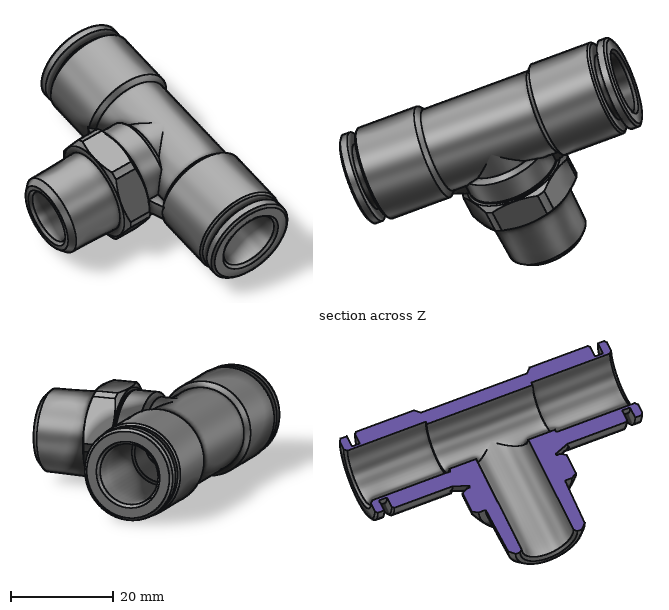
import cadquery as cq
import math

length = 57.0
overall_depth = 38.0
half_length = length / 2
tube_dia = 17.0
bore_dia = 11.0

flange_dia = 18.5
flange_width = 1.8
flange_chamfer_length = 0.4
flange_chamfer_depth = 0.55
collar_neck_dia = 13.5
socket_dia = 19.0
socket_outer_x = 25.1
socket_inner_x = 11.3
socket_edge_chamfer = 0.4
socket_shoulder = (socket_dia - tube_dia) / 2
tube_hole_dia = 12.2
mouth_dia = 13.35
mouth_chamfer = (mouth_dia - tube_hole_dia) / 2

branch_end = overall_depth - socket_dia / 2
neck_dia = 18.85
neck_start = 6.05
neck_cone_length = (neck_dia - tube_dia) / 2
neck_end = 10.6
hex_start = 10.95
hex_end = 17.0
groove_dia = 18.5
hex_sides = 6
hex_flats = 20.0
hex_corner_dia = 22.25
hex_face_dia = 19.85
hex_chamfer_angle = 30.0
thread_dia = 17.0
thread_tip_dia = 16.4
thread_tip_start = 27.35
thread_face_dia = 14.15
branch_mouth_dia = 12.2
branch_mouth_chamfer = (branch_mouth_dia - bore_dia) / 2

web_thickness = 3.65
web_outer_x = 12.7
web_outer_y = 9.3
web_root_y = 5.7


def turned(profile, axis):
    """Revolve (radius, distance) points about +X or -Y, closed along the axis."""
    points = [(0, profile[0][1])] + profile + [(0, profile[-1][1])]
    if axis == "X":
        outline = [(distance, radius) for radius, distance in points]
        axis_end = (1, 0)
    else:
        outline = [(radius, -distance) for radius, distance in points]
        axis_end = (0, 1)
    return cq.Workplane("XY").polyline(outline).close().revolve(360, (0, 0), axis_end)


def run_half():
    flange_inner_x = half_length - flange_width
    return turned(
        [
            (tube_dia / 2, 0),
            (tube_dia / 2, socket_inner_x),
            (socket_dia / 2, socket_inner_x + socket_shoulder),
            (socket_dia / 2, socket_outer_x - socket_edge_chamfer),
            (socket_dia / 2 - socket_edge_chamfer, socket_outer_x),
            (collar_neck_dia / 2, socket_outer_x),
            (collar_neck_dia / 2, flange_inner_x),
            (flange_dia / 2, flange_inner_x),
            (flange_dia / 2, half_length - flange_chamfer_length),
            (flange_dia / 2 - flange_chamfer_depth, half_length),
        ],
        "X",
    )


def run_half_bore():
    return turned(
        [
            (bore_dia / 2, 0),
            (bore_dia / 2, socket_inner_x),
            (tube_hole_dia / 2, socket_inner_x),
            (tube_hole_dia / 2, half_length - mouth_chamfer),
            (mouth_dia / 2, half_length),
        ],
        "X",
    )


def branch_body():
    return turned(
        [
            (tube_dia / 2, 0),
            (tube_dia / 2, neck_start - neck_cone_length),
            (neck_dia / 2, neck_start),
            (neck_dia / 2, neck_end),
            (groove_dia / 2, neck_end),
            (groove_dia / 2, hex_start),
            (thread_dia / 2, hex_start),
            (thread_dia / 2, hex_end),
            (thread_tip_dia / 2, thread_tip_start),
            (thread_face_dia / 2, branch_end),
        ],
        "Y",
    )


def hexagon():
    across_points = hex_flats / math.cos(math.pi / hex_sides)
    prism = (
        cq.Workplane("XZ", origin=(0, -hex_start, 0))
        .polygon(hex_sides, across_points)
        .extrude(hex_end - hex_start)
    )
    chamfer_depth = (hex_corner_dia - hex_face_dia) / 2
    chamfer_length = chamfer_depth * math.tan(math.radians(hex_chamfer_angle))
    envelope = turned(
        [
            (hex_face_dia / 2, hex_start),
            (hex_corner_dia / 2, hex_start + chamfer_length),
            (hex_corner_dia / 2, hex_end - chamfer_length),
            (hex_face_dia / 2, hex_end),
        ],
        "Y",
    )
    return prism.intersect(envelope)


def webs():
    """One plate sloping from both sockets to the end of the neck."""
    neck_x = neck_dia / 2
    outline = [
        (-web_outer_x, -web_root_y),
        (-web_outer_x, -web_outer_y),
        (-neck_x, -neck_end),
        (neck_x, -neck_end),
        (web_outer_x, -web_outer_y),
        (web_outer_x, -web_root_y),
    ]
    plate = cq.Workplane("XY").polyline(outline).close()
    return plate.extrude(web_thickness / 2, both=True)


def branch_bore():
    return turned(
        [
            (bore_dia / 2, 0),
            (bore_dia / 2, branch_end - branch_mouth_chamfer),
            (branch_mouth_dia / 2, branch_end),
        ],
        "Y",
    )


half = run_half()
half_bore = run_half_bore()
body = half.union(half.mirror("YZ")).union(branch_body()).union(hexagon()).union(webs())
bores = half_bore.union(half_bore.mirror("YZ")).union(branch_bore())

result = body.cut(bores)